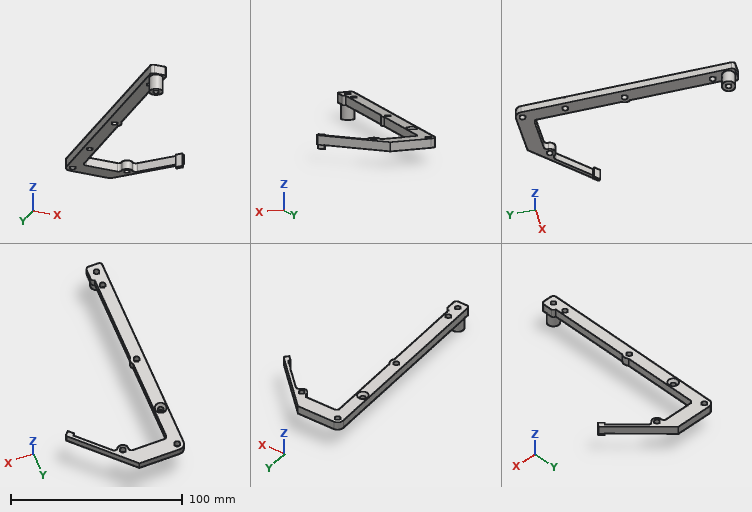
import cadquery as cq
import math

length = 133.7
thickness = 5.6
corner_radius = 4.0
inner_radius = 2.0
foot_radius = 1.9
overlap = 0.7

rail_width = 8.0
bar_width = 9.8
foot_size = 9.9

diagonal_start_x = 29.4
tip_x = 62.2
arm_thickness = 2.0

hook_length = 4.1
hook_thickness = 3.5
hook_drop = 3.0
hook_chamfer = 0.4
tip_flat = 1.0

hole_diameter = 3.5
screw_hole_diameter = 3.3
sink_diameter = 6.8
sink_angle = 90.0
post_diameter = 8.0
post_height = 9.4
arm_boss_diameter = 6.7
rail_boss_diameter = 8.0

foot_center = (foot_size / 2, foot_size / 2)
rail_hole = (foot_size / 2, 14.6)
rail_boss_center = (foot_size / 2, 68.0)
sink_center = (rail_width / 2, 103.8)
corner_hole = (corner_radius, length - corner_radius)
arm_boss_center = (35.0, 121.7)

sharp_tip_x = tip_x + tip_flat / 2
tip = (sharp_tip_x, length - (sharp_tip_x - diagonal_start_x))
bar_bottom = length - bar_width


def from_tip(back, inward):
    """Point measured from the sharp tip: back along the arm and inward across it."""
    half_root = math.sqrt(0.5)
    return (tip[0] - (back + inward) * half_root, tip[1] + (back - inward) * half_root)


def disc(center, diameter, height, base=0.0):
    """Upright cylinder standing at height base."""
    return cq.Workplane("XY", origin=(*center, base)).circle(diameter / 2).extrude(height)


def fillet_near(body, point, radius):
    """Round the single upright edge closest to a plan position."""
    edge = cq.selectors.NearestToPointSelector((*point, thickness / 2))
    return body.edges("|Z").edges(edge).fillet(radius)


def make_frame():
    arm_root_x = diagonal_start_x + bar_width - arm_thickness * math.sqrt(2)
    outline = [
        (0, foot_center[1]),
        (rail_width, foot_center[1]),
        (rail_width, bar_bottom),
        (arm_root_x, bar_bottom),
        from_tip(0, arm_thickness),
        (tip_x, tip[1] - tip_flat / 2),
        (tip_x, tip[1] + tip_flat / 2),
        (diagonal_start_x, length),
        (0, length),
    ]
    frame = cq.Workplane("XY").polyline(outline).close().extrude(thickness)
    frame = fillet_near(frame, (0, length), corner_radius)
    return fillet_near(frame, (rail_width, bar_bottom), inner_radius)


def make_foot():
    foot = cq.Workplane("XY").rect(foot_size, foot_size).extrude(thickness).translate((*foot_center, 0))
    for corner in [(0, 0), (foot_size, 0), (foot_size, foot_size)]:
        foot = fillet_near(foot, corner, foot_radius)
    return foot


def add_arm_boss(body):
    body = body.union(disc(arm_boss_center, arm_boss_diameter, thickness))
    boss_radius = arm_boss_diameter / 2
    rise = bar_bottom - arm_boss_center[1]
    left = (arm_boss_center[0] - math.sqrt(boss_radius**2 - rise**2), bar_bottom)
    arm_gap = (diagonal_start_x + length - sum(arm_boss_center)) / math.sqrt(2) - arm_thickness
    angle = math.radians(45) - math.acos(arm_gap / boss_radius)
    right = (
        arm_boss_center[0] + boss_radius * math.cos(angle),
        arm_boss_center[1] + boss_radius * math.sin(angle),
    )
    for corner in (left, right):
        body = fillet_near(body, corner, inner_radius)
    return body


def make_hook():
    outline = [
        from_tip(0, arm_thickness),
        from_tip(0, hook_thickness),
        from_tip(hook_length, hook_thickness),
        from_tip(hook_length, arm_thickness),
    ]
    base = cq.Workplane("XY", origin=(0, 0, -hook_drop))
    hook = base.polyline(outline).close().extrude(hook_drop + thickness)
    inner_middle = from_tip(hook_length / 2, hook_thickness)
    end_middle = from_tip(0, (arm_thickness + hook_thickness) / 2)
    bevelled = [
        hook.edges(cq.selectors.NearestToPointSelector((*middle, -hook_drop))).val()
        for middle in (inner_middle, end_middle)
    ]
    return hook.newObject(bevelled).chamfer(hook_chamfer)


def cut_holes(body):
    cut_height = post_height + thickness
    for center in (corner_hole, arm_boss_center, rail_boss_center, rail_hole):
        body = body.cut(disc(center, hole_diameter, cut_height, -post_height))
    body = body.cut(disc(foot_center, screw_hole_diameter, cut_height, -post_height))
    sink_radius = sink_diameter / 2
    sink_depth = sink_radius / math.tan(math.radians(sink_angle / 2))
    sink = cq.Solid.makeCone(0, sink_radius, sink_depth).translate(
        cq.Vector(*sink_center, thickness - sink_depth)
    )
    body = body.cut(disc(sink_center, screw_hole_diameter, thickness))
    return body.cut(cq.Workplane(sink))


result = add_arm_boss(make_frame())
result = result.union(disc(rail_boss_center, rail_boss_diameter, thickness))
result = result.union(disc(foot_center, post_diameter, post_height + overlap, -post_height))
result = result.union(make_foot())
result = result.union(make_hook())
result = cut_holes(result)